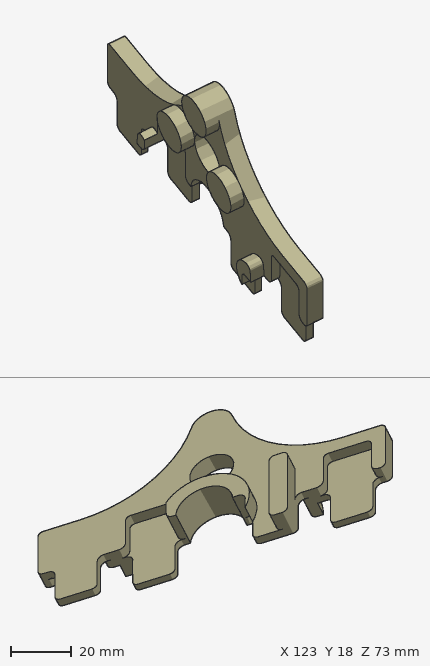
import cadquery as cq
import math


plate_width = 123.0
plate_thickness = 6.25
plate_bottom = 0.5
plate_top = 22.5
shoulder_length = 15.0
corner_radius = 2.0
root_radius = 2.5

pin_diameter = 15.0
pin_length = 5.15
apex_height = 50.0
hole_diameter = 15.5
hole_height = 26.5
side_pin_offset = (pin_diameter + hole_diameter) / 2
arch_radius = 10.0

tooth_width = 15.0
tooth_length = 16.0
front_tooth_back = 2.5
tooth_gap = 0.75
pocket_clearance = 1.0
outer_tooth_offset = 48.0
inner_tooth_offset = 22.0
front_tooth_centers = (-outer_tooth_offset, inner_tooth_offset)
rear_tooth_centers = (-inner_tooth_offset, outer_tooth_offset)
pocket_width = tooth_width + 2 * pocket_clearance
tooth_tip = plate_bottom - tooth_length
pocket_tip = plate_bottom + tooth_length
rear_tooth_front = front_tooth_back + tooth_gap

hook_diameter = 15.0
hook_offset = 33.7
hook_outer_radius = 35.0
hook_corner_radius = 2.0

rear_length = 6.6
rear_ring_radius = 16.0
rear_block_width = 6.5
rear_block_top = 15.5

rear_end = plate_thickness + rear_length


def workplane(front):
    """XZ workplane at Y = front; a negative extrusion runs toward +Y."""
    return cq.Workplane("XZ", origin=(0, front, 0))


def cylinder(x, z, radius, front, back):
    return workplane(front).center(x, z).circle(radius).extrude(front - back)


def plate_blank(front, back):
    """Plate without teeth: two shoulders swept by tangent arcs up to the apex pin."""
    half = plate_width / 2
    apex_radius = pin_diameter / 2
    sweep_x = half - shoulder_length
    rise = apex_height - plate_top
    sweep_radius = (sweep_x**2 + rise**2 - apex_radius**2) / (2 * (rise + apex_radius))
    sweep_z = plate_top + sweep_radius
    apex_angle = math.atan2(sweep_z - apex_height, sweep_x)
    tangent_x = apex_radius * math.cos(apex_angle)
    tangent_z = apex_height + apex_radius * math.sin(apex_angle)
    middle_angle = (apex_angle + math.pi / 2) / 2
    middle_x = sweep_x - sweep_radius * math.cos(middle_angle)
    middle_z = sweep_z - sweep_radius * math.sin(middle_angle)
    blank = (
        workplane(front)
        .moveTo(-half, plate_bottom)
        .lineTo(-half, plate_top)
        .lineTo(-sweep_x, plate_top)
        .threePointArc((-middle_x, middle_z), (-tangent_x, tangent_z))
        .lineTo(tangent_x, tangent_z)
        .threePointArc((middle_x, middle_z), (sweep_x, plate_top))
        .lineTo(half, plate_top)
        .lineTo(half, plate_bottom)
        .close()
        .extrude(front - back)
    )
    return blank.edges("|Y and (<X or >X)").fillet(corner_radius)


def tab(x, width, tip, front, back):
    """Tab from the plate bottom to the tip, with a flared root and rounded tip corners."""
    half = width / 2
    direction = math.copysign(1, tip - plate_bottom)
    arc_inset = 1 - math.sqrt(0.5)
    root_turn = root_radius * arc_inset
    tip_turn = corner_radius * arc_inset
    flare = half + root_radius
    root_end = plate_bottom + direction * root_radius
    root_middle = plate_bottom + direction * root_turn
    tip_start = tip - direction * corner_radius
    tip_middle = tip - direction * tip_turn
    return (
        workplane(front)
        .center(x, 0)
        .moveTo(-flare, plate_bottom)
        .threePointArc((-half - root_turn, root_middle), (-half, root_end))
        .lineTo(-half, tip_start)
        .threePointArc((-half + tip_turn, tip_middle), (-half + corner_radius, tip))
        .lineTo(half - corner_radius, tip)
        .threePointArc((half - tip_turn, tip_middle), (half, tip_start))
        .lineTo(half, root_end)
        .threePointArc((half + root_turn, root_middle), (flare, plate_bottom))
        .close()
        .extrude(front - back)
    )


def layer(teeth, pockets, front, back):
    """Slice of the plate between two Y positions, with its teeth and pockets."""
    slab = plate_blank(front, back)
    for x in pockets:
        slab = slab.cut(tab(x, pocket_width, pocket_tip, front, back))
    for x in teeth:
        slab = slab.union(tab(x, tooth_width, tooth_tip, front, back))
    slab = slab.cut(cylinder(0, hole_height, hole_diameter / 2, front, back))
    return slab.cut(cylinder(0, 0, arch_radius, front, back))


def front_layer(front, back):
    return layer(front_tooth_centers, rear_tooth_centers, front, back)


def rear_layer(front, back):
    return layer(rear_tooth_centers, front_tooth_centers, front, back)


def toothed_plate():
    middle_pockets = front_tooth_centers + rear_tooth_centers
    plate = front_layer(0, front_tooth_back)
    plate = plate.union(layer((), middle_pockets, front_tooth_back, rear_tooth_front))
    return plate.union(rear_layer(rear_tooth_front, plate_thickness))


def front_pins():
    """Two pins on the front face and the apex pin, which runs through the plate."""
    radius = pin_diameter / 2
    pins = cylinder(0, apex_height, radius, -pin_length, plate_thickness)
    for x in (-side_pin_offset, side_pin_offset):
        pins = pins.union(cylinder(x, hole_height, radius, -pin_length, 0))
    return pins


def front_hooks():
    """Discs cut off by a large circle about the arch axis, kept within the front layer."""
    limit = cylinder(0, 0, hook_outer_radius, -pin_length, 0)
    discs = cq.Workplane()
    for x in (-hook_offset, hook_offset):
        disc = cylinder(x, 0, hook_diameter / 2, -pin_length, 0).intersect(limit)
        discs = discs.add(disc.edges("|Y").edges(">Z").fillet(hook_corner_radius))
    return front_layer(-pin_length, 0).intersect(discs.combine())


def rear_ring():
    """Raised rim around the arch, kept within the rear layer."""
    ring = cylinder(0, 0, rear_ring_radius, plate_thickness, rear_end)
    return ring.intersect(rear_layer(plate_thickness, rear_end))


def rear_block():
    """Upright bar flush with the outer side and the tip of the rear inner tooth."""
    center_x = -inner_tooth_offset - tooth_width / 2 + rear_block_width / 2
    center_z = (rear_block_top + tooth_tip) / 2
    bar = (
        workplane(rear_tooth_front)
        .center(center_x, center_z)
        .rect(rear_block_width, rear_block_top - tooth_tip)
        .extrude(rear_tooth_front - rear_end)
    )
    return bar.edges("|Y").fillet(corner_radius)


result = toothed_plate()
for feature in (front_pins(), front_hooks(), rear_ring(), rear_block()):
    result = result.union(feature)
result = result.clean()